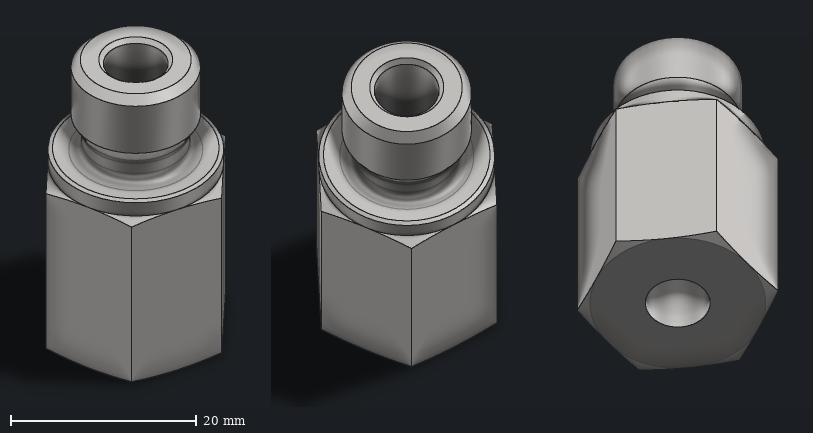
import cadquery as cq
import math

total_height = 36.0
hex_top = 22.0
neck_bottom = 24.9
thread_bottom = 28.62

across_flats = 19.0
hex_chamfer_angle = 15.0
envelope_clearance = 0.35
collar_bevel_width = 0.5
collar_bevel_height = 0.15
dish_angle = 8.0

spigot_diameter = 14.0
spigot_chamfer_width = 1.0
spigot_chamfer_height = 0.95
neck_diameter = 11.7
neck_root_radius = 1.22
undercut_angle = 30.0
undercut_radius = 1.08

bore_diameter = 7.0
bore_chamfer = 0.5

flat_radius = across_flats / 2
corner_radius = flat_radius / math.cos(math.radians(30))
spigot_radius = spigot_diameter / 2
neck_radius = neck_diameter / 2
bore_radius = bore_diameter / 2


def make_hex_body():
    """Hexagon with flats facing +X and -X, its corners turned off conically at both ends."""
    hexagon = (
        cq.Workplane("XY")
        .polygon(6, 2 * corner_radius)
        .extrude(hex_top)
        .rotate((0, 0, 0), (0, 0, 1), 30)
    )
    envelope_radius = corner_radius + envelope_clearance
    drop = (envelope_radius - flat_radius) * math.tan(math.radians(hex_chamfer_angle))
    envelope = (
        cq.Workplane("XZ")
        .moveTo(0, 0)
        .lineTo(flat_radius, 0)
        .lineTo(envelope_radius, drop)
        .lineTo(envelope_radius, hex_top - drop)
        .lineTo(flat_radius, hex_top)
        .lineTo(0, hex_top)
        .close()
        .revolve(360, (0, 0, 0), (0, 1, 0))
    )
    return hexagon.intersect(envelope)


def make_turned_end():
    """Collar with a dished top face, undercut neck and chamfered spigot."""
    dish = math.radians(dish_angle)
    root_center_radius = neck_radius + neck_root_radius
    root_end = (
        root_center_radius + neck_root_radius * math.sin(dish),
        neck_bottom - neck_root_radius * math.cos(dish),
    )
    root_mid_angle = math.radians(45) - dish / 2
    root_mid = (
        root_center_radius - neck_root_radius * math.sin(root_mid_angle),
        neck_bottom - neck_root_radius * math.cos(root_mid_angle),
    )
    rim_radius = flat_radius - collar_bevel_width
    rim_height = root_end[1] + (rim_radius - root_end[0]) * math.tan(dish)

    angle = math.radians(undercut_angle)
    cone_start_radius = neck_radius + undercut_radius * (1 - math.cos(angle))
    cone_height = (spigot_radius - cone_start_radius) / math.tan(angle)
    cone_bottom = thread_bottom - cone_height
    neck_top = cone_bottom - undercut_radius * math.sin(angle)
    undercut_mid = (
        neck_radius + undercut_radius * (1 - math.cos(angle / 2)),
        neck_top + undercut_radius * math.sin(angle / 2),
    )

    return (
        cq.Workplane("XZ")
        .moveTo(0, hex_top)
        .lineTo(flat_radius, hex_top)
        .lineTo(flat_radius, rim_height - collar_bevel_height)
        .lineTo(rim_radius, rim_height)
        .lineTo(*root_end)
        .threePointArc(root_mid, (neck_radius, neck_bottom))
        .lineTo(neck_radius, neck_top)
        .threePointArc(undercut_mid, (cone_start_radius, cone_bottom))
        .lineTo(spigot_radius, thread_bottom)
        .lineTo(spigot_radius, total_height - spigot_chamfer_height)
        .lineTo(spigot_radius - spigot_chamfer_width, total_height)
        .lineTo(0, total_height)
        .close()
        .revolve(360, (0, 0, 0), (0, 1, 0))
    )


def make_bore():
    """Through bore with a conical mouth at the top."""
    return (
        cq.Workplane("XZ")
        .moveTo(0, 0)
        .lineTo(bore_radius, 0)
        .lineTo(bore_radius, total_height - bore_chamfer)
        .lineTo(bore_radius + bore_chamfer, total_height)
        .lineTo(0, total_height)
        .close()
        .revolve(360, (0, 0, 0), (0, 1, 0))
    )


result = make_hex_body().union(make_turned_end()).cut(make_bore())